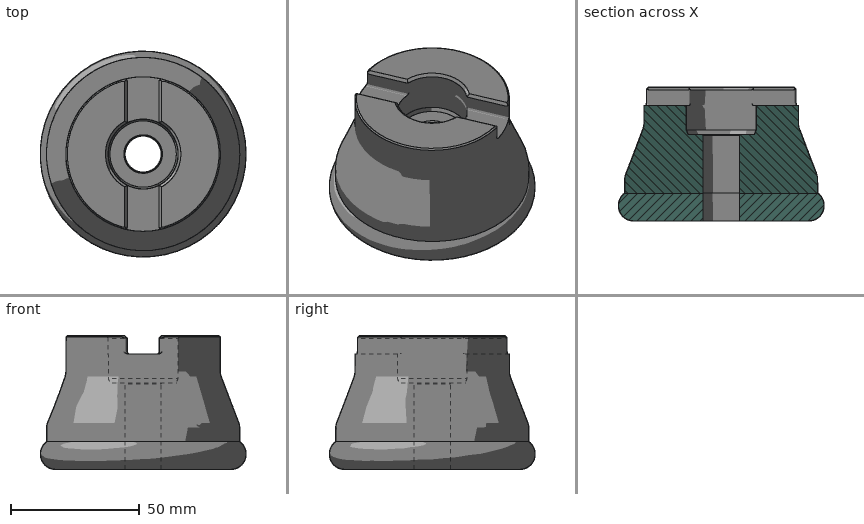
import cadquery as cq
import math

overall_radius = 40.0
rim_radius = 6.0
rim_center_radius = overall_radius - rim_radius
shoulder_radius = 37.5
ring_height = rim_radius + math.sqrt(rim_radius**2 - (shoulder_radius - rim_center_radius)**2)

total_height = 52.0
hub_radius = 30.0
hub_base = 36.9
shoulder_top = 17.2
blend_radius = 5.0
rim_chamfer = 0.55

through_radius = 14.0 / 2
through_chamfer = 0.5
upper_bore_radius = 27.2 / 2
lower_bore_radius = 27.0 / 2
bore_taper_height = 1.0
bore_floor = 33.65
bore_floor_radius = 12.9
bore_floor_taper_height = 1.6

slot_half_width = 6.15
slot_floor = 44.85
slot_floor_fillet = 0.8
slot_corner_fillet = 0.95
slot_edge_chamfer = 1.0
tooth_end_bevel_start = 28.2


def make_cutting_ring():
    """Disc with a toroidal rim, pierced by the through bore."""
    profile = (
        cq.Workplane("XZ")
        .moveTo(through_radius, 0)
        .lineTo(rim_center_radius, 0)
        .threePointArc((overall_radius, rim_radius), (shoulder_radius, ring_height))
        .lineTo(through_radius, ring_height)
        .close()
    )
    return profile.revolve(360, (0, 0, 0), (0, 1, 0))


def make_holder_blank():
    """Turned outside of the holder: shoulder, cone and hub with blended transitions."""
    blank = (
        cq.Workplane("XZ")
        .moveTo(0, ring_height)
        .lineTo(shoulder_radius, ring_height)
        .lineTo(shoulder_radius, shoulder_top)
        .lineTo(hub_radius, hub_base)
        .lineTo(hub_radius, total_height)
        .lineTo(0, total_height)
        .close()
        .revolve(360, (0, 0, 0), (0, 1, 0))
    )
    transition_heights = (shoulder_top, hub_base)
    transitions = blank.edges("%CIRCLE").filter(
        lambda edge: any(abs(edge.Center().z - height) < 0.01 for height in transition_heights)
    )
    return transitions.fillet(blend_radius)


def make_bore():
    """Through bore and stepped top bore, without the bevel at the top rim."""
    return (
        cq.Workplane("XZ")
        .moveTo(0, ring_height)
        .lineTo(through_radius, ring_height)
        .lineTo(through_radius, bore_floor - through_chamfer)
        .lineTo(through_radius + through_chamfer, bore_floor)
        .lineTo(bore_floor_radius, bore_floor)
        .lineTo(lower_bore_radius, bore_floor + bore_floor_taper_height)
        .lineTo(lower_bore_radius, slot_floor - bore_taper_height)
        .lineTo(upper_bore_radius, slot_floor)
        .lineTo(upper_bore_radius, total_height)
        .lineTo(0, total_height)
        .close()
        .revolve(360, (0, 0, 0), (0, 1, 0))
    )


def make_teeth_on_plate():
    """Two teeth with rounded upright corners, joined by floor fillets to an oversize plate.

    Trimming the plate to the turned holder leaves the drive slot between the teeth.
    """
    tooth_height = total_height - slot_floor
    teeth = (
        cq.Workplane("XY", origin=(0, 0, slot_floor))
        .circle(hub_radius)
        .circle(upper_bore_radius)
        .extrude(tooth_height)
        .cut(cq.Workplane("XY").box(2 * slot_half_width, 2 * overall_radius, 2 * total_height))
    )
    upright_corners = teeth.edges("|Z").filter(
        lambda edge: abs(abs(edge.Center().x) - slot_half_width) < 0.01
    )
    teeth = upright_corners.fillet(slot_corner_fillet)
    plate = (
        cq.Workplane("XY", origin=(0, 0, ring_height))
        .circle(overall_radius)
        .extrude(slot_floor - ring_height)
    )
    foot_edges = plate.union(teeth).edges().filter(
        lambda edge: edge.BoundingBox().zlen < 0.01
        and abs(edge.Center().z - slot_floor) < 0.01
        and edge.BoundingBox().xmax < overall_radius - 0.8
    )
    return foot_edges.fillet(slot_floor_fillet)


def make_slot_bevel():
    """Prism along the slot that bevels its top edges at 45 degrees."""
    bevel_base = total_height - slot_edge_chamfer
    return (
        cq.Workplane("XZ")
        .moveTo(-slot_half_width, bevel_base)
        .lineTo(slot_half_width, bevel_base)
        .lineTo(slot_half_width + slot_edge_chamfer, total_height)
        .lineTo(-slot_half_width - slot_edge_chamfer, total_height)
        .close()
        .extrude(overall_radius, both=True)
    )


def make_bore_bevel():
    """Cone that bevels the top rim of the bore by the same amount as the slot."""
    base_center = cq.Vector(0, 0, total_height - slot_edge_chamfer)
    top_radius = upper_bore_radius + slot_edge_chamfer
    cone = cq.Solid.makeCone(upper_bore_radius, top_radius, slot_edge_chamfer, base_center)
    return cq.Workplane(cone)


def make_tooth_envelope():
    """Space left inside the rim chamfer and the bevels on the tooth ends."""
    bevel_height = hub_radius - tooth_end_bevel_start
    end_bevels = (
        cq.Workplane("YZ")
        .moveTo(-hub_radius, slot_floor)
        .lineTo(hub_radius, slot_floor)
        .lineTo(hub_radius, total_height - bevel_height)
        .lineTo(tooth_end_bevel_start, total_height)
        .lineTo(-tooth_end_bevel_start, total_height)
        .lineTo(-hub_radius, total_height - bevel_height)
        .close()
        .extrude(hub_radius, both=True)
    )
    rim = (
        cq.Workplane("XY", origin=(0, 0, slot_floor))
        .circle(hub_radius)
        .extrude(total_height - slot_floor)
        .faces(">Z")
        .chamfer(rim_chamfer)
    )
    return end_bevels.intersect(rim)


def make_holder():
    """Holder with bores, drive slot and beveled teeth."""
    body = make_holder_blank().intersect(make_teeth_on_plate()).cut(make_bore())
    body = body.cut(make_slot_bevel()).cut(make_bore_bevel())
    tooth_zone = (
        cq.Workplane("XY", origin=(0, 0, slot_floor))
        .circle(overall_radius)
        .extrude(total_height - slot_floor)
    )
    return body.cut(tooth_zone.cut(make_tooth_envelope()))


cutting_ring = make_cutting_ring()
holder = make_holder()

result = cq.Compound.makeCompound([cutting_ring.val(), holder.val()])